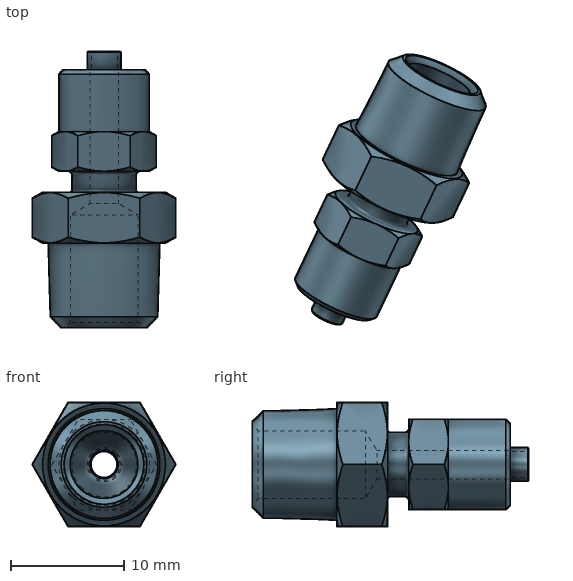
import cadquery as cq
import math

thread_end = 7.5
body_hex_end = 12.0
nut_start = 13.87
nut_hex_end = 17.37
nut_end = 22.85
total_length = 24.5

thread_base_dia = 9.9
thread_tip_dia = 9.53
tip_chamfer = 1.0
end_face_dia = 7.57

body_hex_flats = 11.0
body_hex_face_dia = 10.85
nut_flats = 8.0
hex_chamfer_angle = 30.0

neck_dia = 5.7
neck_nut_fillet = 0.35
neck_body_fillet = 0.2
nut_chamfer = 0.4
nose_dia = 3.01
nose_chamfer = 0.12

bore_dia = 6.0
bore_mouth_chamfer = 0.51
bore_depth = 10.0
drill_point_angle = 118.0
passage_dia = 2.5
nose_bore_dia = 2.3


def revolve_profile(profile):
    """Turn a closed (radius, station) profile about the Y axis."""
    return profile.close().revolve(360, (0, 0, 0), (0, 1, 0))


def cylinder(diameter, start, end):
    """Cylinder along Y between two stations."""
    return revolve_profile(cq.Workplane("XY").moveTo(0, start).lineTo(diameter / 2, start)
                           .lineTo(diameter / 2, end).lineTo(0, end))


def chamfered_hex(flats, face_dia, start, end):
    """Hexagonal prism whose corners are turned off conically at both ends."""
    corner_radius = flats / math.sqrt(3)
    face_radius = face_dia / 2
    setback = (corner_radius - face_radius) * math.tan(math.radians(hex_chamfer_angle))
    prism = (cq.Workplane("XZ", origin=(0, start, 0))
             .polygon(6, 2 * corner_radius).extrude(start - end))
    envelope = revolve_profile(
        cq.Workplane("XY").moveTo(0, start).lineTo(face_radius, start)
        .lineTo(corner_radius, start + setback).lineTo(corner_radius, end - setback)
        .lineTo(face_radius, end).lineTo(0, end))
    return prism.intersect(envelope)


def tapered_thread():
    return revolve_profile(
        cq.Workplane("XY").lineTo(end_face_dia / 2, 0)
        .lineTo(thread_tip_dia / 2, tip_chamfer)
        .lineTo(thread_base_dia / 2, thread_end).lineTo(0, thread_end))


def neck():
    """Neck with a concave fillet running into the hexagon at each end."""
    radius = neck_dia / 2
    return revolve_profile(
        cq.Workplane("XY").moveTo(0, body_hex_end)
        .lineTo(radius + neck_body_fillet, body_hex_end)
        .radiusArc((radius, body_hex_end + neck_body_fillet), neck_body_fillet)
        .lineTo(radius, nut_start - neck_nut_fillet)
        .radiusArc((radius + neck_nut_fillet, nut_start), neck_nut_fillet)
        .lineTo(0, nut_start))


def stepped_bore():
    """Chamfered bore with a drill-point floor, a passage and a narrower nose bore."""
    bore_radius = bore_dia / 2
    passage_radius = passage_dia / 2
    nose_radius = nose_bore_dia / 2
    point_length = (bore_radius - passage_radius) / math.tan(math.radians(drill_point_angle / 2))
    return revolve_profile(
        cq.Workplane("XY").lineTo(bore_radius + bore_mouth_chamfer, 0)
        .lineTo(bore_radius, bore_mouth_chamfer).lineTo(bore_radius, bore_depth)
        .lineTo(passage_radius, bore_depth + point_length).lineTo(passage_radius, nut_end)
        .lineTo(nose_radius, nut_end).lineTo(nose_radius, total_length).lineTo(0, total_length))


body_hex = chamfered_hex(body_hex_flats, body_hex_face_dia, thread_end, body_hex_end)
nut_hex = chamfered_hex(nut_flats, nut_flats, nut_start, nut_hex_end)
nut_sleeve = cylinder(nut_flats, nut_hex_end, nut_end).faces(">Y").chamfer(nut_chamfer)
nose = cylinder(nose_dia, nut_end, total_length).faces(">Y").chamfer(nose_chamfer)

result = (
    tapered_thread()
    .union(body_hex)
    .union(neck())
    .union(nut_hex)
    .union(nut_sleeve)
    .union(nose)
    .cut(stepped_bore())
)